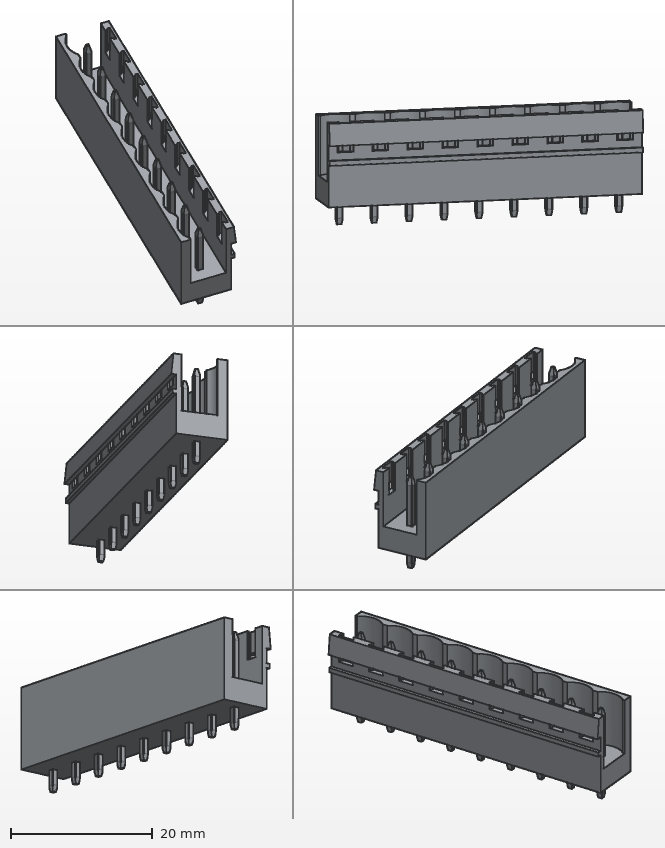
import cadquery as cq

LENGTH = 45.5
HEIGHT = 12.05
FLOOR_TOP = 3.55
FRONT_WALL_INNER = 1.5
BACK_WALL_INNER = 6.87
BACK_WALL_OUTER = 7.7

LATCH_TOP_Y = 8.1
LATCH_TIP_Y = 8.4
LATCH_BOTTOM = 8.9
RIB_Y = 8.25
RIB_BOTTOM = 6.05
RIB_TOP = 6.75

PIN_COUNT = 9
END_MARGIN = 2.45
PITCH = (LENGTH - 2 * END_MARGIN) / (PIN_COUNT - 1)
PIN_XS = [(i - (PIN_COUNT - 1) / 2) * PITCH for i in range(PIN_COUNT)]

SCALLOP_WIDTH = 4.3
SCALLOP_DEPTH = 0.8

SLOT_INNER_WIDTH = 1.75
SLOT_OUTER_WIDTH = 2.3
SLOT_FLARE_START_Y = 7.1
SLOT_FLARE_END_Y = SLOT_FLARE_START_Y + (SLOT_OUTER_WIDTH - SLOT_INNER_WIDTH) / 2
SLOT_BOTTOM = 7.85

PIN_Y = 3.82
PIN_WIDTH = 0.95
PIN_CHAMFER = 0.15
PIN_TOP = 11.1
PIN_BOTTOM = -3.15
TOP_TAPER_START = 9.9
BOTTOM_TAPER_START = -2.2
TOP_TIP_WIDTH = 0.35
BOTTOM_TIP_WIDTH = 0.6


def make_profile_body():
    """U-shaped channel with the latch bar and rib on its back wall."""
    profile = [
        (0, 0),
        (BACK_WALL_OUTER, 0),
        (BACK_WALL_OUTER, RIB_BOTTOM),
        (RIB_Y, RIB_BOTTOM),
        (RIB_Y, RIB_TOP),
        (BACK_WALL_OUTER, RIB_TOP),
        (BACK_WALL_OUTER, LATCH_BOTTOM),
        (LATCH_TIP_Y, LATCH_BOTTOM),
        (LATCH_TOP_Y, HEIGHT),
        (BACK_WALL_INNER, HEIGHT),
        (BACK_WALL_INNER, FLOOR_TOP),
        (FRONT_WALL_INNER, FLOOR_TOP),
        (FRONT_WALL_INNER, HEIGHT),
        (0, HEIGHT),
    ]
    return cq.Workplane("YZ").polyline(profile).close().extrude(LENGTH / 2, both=True)


def make_scallop(x):
    """Cutter for the shallow arc in the inside of the front wall, down to the floor."""
    half = SCALLOP_WIDTH / 2
    return (
        cq.Workplane("XY", origin=(x, FRONT_WALL_INNER, FLOOR_TOP))
        .moveTo(-half, 0)
        .threePointArc((0, -SCALLOP_DEPTH), (half, 0))
        .close()
        .extrude(HEIGHT - FLOOR_TOP)
    )


def make_slot(x):
    """Cutter for a slot that widens toward the outside; below the latch bar it opens as a window."""
    outline = [
        (-SLOT_INNER_WIDTH / 2, BACK_WALL_INNER),
        (SLOT_INNER_WIDTH / 2, BACK_WALL_INNER),
        (SLOT_INNER_WIDTH / 2, SLOT_FLARE_START_Y),
        (SLOT_OUTER_WIDTH / 2, SLOT_FLARE_END_Y),
        (SLOT_OUTER_WIDTH / 2, BACK_WALL_OUTER),
        (-SLOT_OUTER_WIDTH / 2, BACK_WALL_OUTER),
        (-SLOT_OUTER_WIDTH / 2, SLOT_FLARE_END_Y),
        (-SLOT_INNER_WIDTH / 2, SLOT_FLARE_START_Y),
    ]
    return (
        cq.Workplane("XY", origin=(x, 0, SLOT_BOTTOM))
        .polyline(outline)
        .close()
        .extrude(HEIGHT - SLOT_BOTTOM)
    )


def make_taper(x, start, end, tip_width):
    """Square frustum from the full pin width at start to the tip width at end."""
    return (
        cq.Workplane("XY", origin=(x, PIN_Y, start))
        .rect(PIN_WIDTH, PIN_WIDTH)
        .workplane(offset=end - start)
        .rect(tip_width, tip_width)
        .loft()
    )


def make_shaft(x, bottom, top):
    """Square bar on the pin axis."""
    return cq.Workplane("XY", origin=(x, PIN_Y, bottom)).rect(PIN_WIDTH, PIN_WIDTH).extrude(top - bottom)


def make_pin(x):
    """Square pin with chamfered long edges and a tapered tip at each end."""
    chamfered_bar = make_shaft(x, PIN_BOTTOM, PIN_TOP).edges("|Z").chamfer(PIN_CHAMFER)
    tapered_bar = (
        make_shaft(x, BOTTOM_TAPER_START, TOP_TAPER_START)
        .union(make_taper(x, TOP_TAPER_START, PIN_TOP, TOP_TIP_WIDTH))
        .union(make_taper(x, BOTTOM_TAPER_START, PIN_BOTTOM, BOTTOM_TIP_WIDTH))
    )
    return chamfered_bar.intersect(tapered_bar)


def make_housing(pins):
    """Channel with scallops, slots and one fitted hole for each pin."""
    housing = make_profile_body()
    for x, pin in zip(PIN_XS, pins):
        housing = housing.cut(make_scallop(x)).cut(make_slot(x)).cut(pin)
    return housing


pins = [make_pin(x) for x in PIN_XS]
housing = make_housing(pins)

result = cq.Compound.makeCompound([housing.val(), *[pin.val() for pin in pins]])